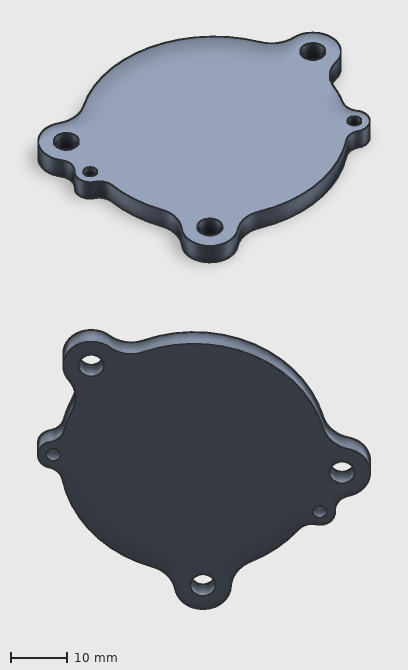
import cadquery as cq
import math

THICKNESS = 4.0
DISC_RADIUS = 23.8

LOBE_PITCH_RADIUS = 26.5
LOBE_RADIUS = 5.0
LOBE_HOLE_DIAMETER = 4.5
LOBE_FILLET = 6.0
LOBE_ANGLES = (90, 230, 310)

BOSS_PITCH_RADIUS = 25.0
BOSS_RADIUS = 2.75
BOSS_HOLE_DIAMETER = 2.5
BOSS_FILLET = 3.0
BOSS_ANGLES = (45, 250)

LOBE_TO_BOSS_FILLET = 3.0


def polar(radius, angle_deg):
    angle = math.radians(angle_deg)
    return (radius * math.cos(angle), radius * math.sin(angle))


def fillet_center(start, end, fillet):
    """Center of the concave fillet touching two circles, right of the line from start to end."""
    (start_x, start_y), start_radius = start
    (end_x, end_y), end_radius = end
    dx = end_x - start_x
    dy = end_y - start_y
    distance = math.hypot(dx, dy)
    start_reach = start_radius + fillet
    end_reach = end_radius + fillet
    along = (distance**2 + start_reach**2 - end_reach**2) / (2 * distance)
    aside = math.sqrt(start_reach**2 - along**2)
    return (
        start_x + (along * dx + aside * dy) / distance,
        start_y + (along * dy - aside * dx) / distance,
    )


def point_towards(circle, target):
    """Point of the circle on the ray from its center to the target."""
    (x, y), radius = circle
    angle = math.atan2(target[1] - y, target[0] - x)
    return (x + radius * math.cos(angle), y + radius * math.sin(angle))


def arc_midpoint(circle, start, end):
    """Middle of the counterclockwise arc of the circle from start to end."""
    (x, y), radius = circle
    start_angle = math.atan2(start[1] - y, start[0] - x)
    end_angle = math.atan2(end[1] - y, end[0] - x)
    half_sweep = ((end_angle - start_angle) % (2 * math.pi)) / 2
    middle = start_angle + half_sweep
    return (x + radius * math.cos(middle), y + radius * math.sin(middle))


def outline():
    """Counterclockwise chain of convex circles, each joined to the next by a concave fillet."""
    disc = ((0.0, 0.0), DISC_RADIUS)
    top_lobe, left_lobe, right_lobe = [
        (polar(LOBE_PITCH_RADIUS, angle), LOBE_RADIUS) for angle in LOBE_ANGLES
    ]
    upper_boss, lower_boss = [
        (polar(BOSS_PITCH_RADIUS, angle), BOSS_RADIUS) for angle in BOSS_ANGLES
    ]
    chain = [
        (disc, BOSS_FILLET),
        (upper_boss, BOSS_FILLET),
        (disc, LOBE_FILLET),
        (top_lobe, LOBE_FILLET),
        (disc, LOBE_FILLET),
        (left_lobe, LOBE_TO_BOSS_FILLET),
        (lower_boss, BOSS_FILLET),
        (disc, LOBE_FILLET),
        (right_lobe, LOBE_FILLET),
    ]
    circles = [circle for circle, _ in chain]
    following = circles[1:] + circles[:1]
    fillets = [
        (fillet_center(circle, after, fillet), fillet)
        for (circle, fillet), after in zip(chain, following)
    ]

    begin = point_towards(circles[0], fillets[-1][0])
    profile = cq.Workplane("XY").moveTo(*begin)
    for circle, after, fillet in zip(circles, following, fillets):
        leave = point_towards(circle, fillet[0])
        arrive = point_towards(after, fillet[0])
        profile = profile.threePointArc(arc_midpoint(circle, begin, leave), leave)
        profile = profile.threePointArc(arc_midpoint(fillet, arrive, leave), arrive)
        begin = arrive
    return profile.close()


def hole_cutters(pitch_radius, angles, diameter):
    centers = [polar(pitch_radius, angle) for angle in angles]
    return cq.Workplane("XY").pushPoints(centers).circle(diameter / 2).extrude(THICKNESS)


plate = outline().extrude(THICKNESS)
lobe_holes = hole_cutters(LOBE_PITCH_RADIUS, LOBE_ANGLES, LOBE_HOLE_DIAMETER)
boss_holes = hole_cutters(BOSS_PITCH_RADIUS, BOSS_ANGLES, BOSS_HOLE_DIAMETER)
result = plate.cut(lobe_holes).cut(boss_holes)